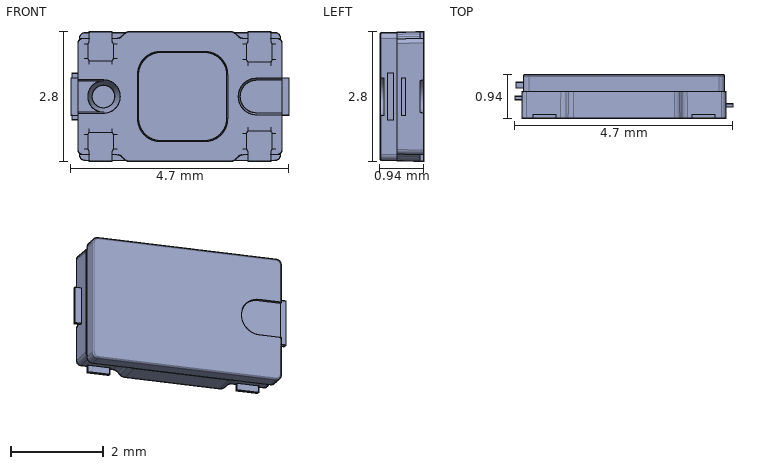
import cadquery as cq
import math


total_length = 4.7
total_depth = 0.94

base_length = 4.4
base_height = 2.8
base_depth = 0.58
base_draft = 0.015
base_corner_radius = 0.1

relief_depth = 0.145
relief_ramp_foot_x = 1.3
ramp_angle = math.radians(45)
ramp_fillet = 0.16

window_slope = 0.3
left_slot_slope = 0.3
right_slot_slope = 0.4
window_size = 1.945
window_center_x = 0.055
window_corner_radius = 0.5
window_depth = 0.08
slot_center_x = 1.65
left_slot_radius = 0.36
left_slot_depth = 0.08
left_pit_depth = 0.395
right_slot_radius = 0.395
right_slot_depth = 0.11

cover_length = 4.345
cover_height = 2.76
cover_corner_radius = 0.125
cover_edge_fillet = 0.035
cover_slot_radius = 0.405
cover_slot_depth = 0.085
cover_tab_height = 1.005
cover_tab_start_y = 0.65
cover_tab_thickness = 0.13
cover_tab_reach = 2.33

sheet_thickness = 0.08
tie_tab_height = 0.81
left_tab_start_y = 0.4
right_tab_start_y = 0.24
tie_tab_length = (total_length - base_length) / 2

terminal_center_x = 1.71
terminal_width = 0.5
terminal_wide_width = 0.555
left_terminal_length = 0.63
right_terminal_length = 0.66
terminal_neck_length = 0.22
terminal_flare_length = 0.05
wing_bend_radius = 2 * sheet_thickness


def block(x_min, x_max, y_min, y_max, height):
    """Box centred on Z = 0."""
    size = (x_max - x_min, y_max - y_min, height)
    return cq.Workplane("XY").box(*size, centered=(False, False, True)).translate((x_min, y_min, 0))


def front_plane(y=0.0):
    """Workplane facing -Y, with its axes along +X and +Z."""
    return cq.Workplane("XZ", origin=(0, y, 0))


def sunk(outline, depth, slope):
    """Cutter from an outline on the front face, narrowing with depth."""
    return outline.extrude(-depth, taper=math.degrees(math.atan(slope)))


def slot_outline(y, side, radius):
    """U-shaped slot that opens through the +X (side = 1) or -X (side = -1) end."""
    center_x = side * slot_center_x
    open_x = side * base_length
    return (
        front_plane(y)
        .moveTo(open_x, radius)
        .lineTo(center_x, radius)
        .threePointArc((center_x - side * radius, 0), (center_x, -radius))
        .lineTo(open_x, -radius)
        .close()
    )


def runs_front_to_back(edge):
    return edge.BoundingBox().ylen > base_depth / 2


def relieved_profile(y, half_height, ramp_foot_x):
    """Outline that drops by ramps to lower shelves, running on past the base ends."""
    shelf_z = half_height - relief_depth
    ramp_top_x = ramp_foot_x - relief_depth / math.tan(ramp_angle)
    far_x = base_length
    upper_half = [
        (-far_x, shelf_z),
        (-ramp_foot_x, shelf_z),
        (-ramp_top_x, half_height),
        (ramp_top_x, half_height),
        (ramp_foot_x, shelf_z),
        (far_x, shelf_z),
    ]
    lower_half = [(x, -z) for x, z in reversed(upper_half)]
    return front_plane(y).polyline(upper_half + lower_half).close().wire().val()


def make_base_blank():
    """Block with drafted top and bottom and filleted reliefs in its four corners."""
    half_height = base_height / 2
    foot_shift = base_draft * math.tan(ramp_angle / 2)
    front = relieved_profile(0, half_height, relief_ramp_foot_x)
    back = relieved_profile(base_depth, half_height - base_draft, relief_ramp_foot_x - foot_shift)
    blank = block(-base_length / 2, base_length / 2, 0, base_depth, base_height)
    blank = blank.intersect(cq.Workplane(cq.Solid.makeLoft([front, back], True)))

    def is_ramp_edge(edge):
        return runs_front_to_back(edge) and abs(edge.Center().x) < terminal_center_x

    blank = blank.edges().filter(is_ramp_edge).fillet(ramp_fillet)
    return blank.faces("<X or >X").edges().filter(runs_front_to_back).fillet(base_corner_radius)


def make_window():
    """Shallow square recess with rounded corners and sloping walls."""
    outline = front_plane().center(window_center_x, 0).sketch()
    outline = outline.rect(window_size, window_size).vertices().fillet(window_corner_radius).finalize()
    return sunk(outline, window_depth, window_slope)


def make_base(terminals):
    base = make_base_blank()
    base = base.cut(make_window())
    base = base.cut(sunk(slot_outline(0, -1, left_slot_radius), left_slot_depth, left_slot_slope))
    base = base.cut(sunk(slot_outline(0, 1, right_slot_radius), right_slot_depth, right_slot_slope))
    pit = front_plane().center(-slot_center_x, 0).circle(left_slot_radius)
    base = base.cut(sunk(pit, left_pit_depth, left_slot_slope))
    for terminal in terminals:
        base = base.cut(terminal)
    return base


def make_cover():
    half_length = cover_length / 2
    cover = block(-half_length, half_length, base_depth, total_depth, cover_height)
    cover = cover.edges("|Y").fillet(cover_corner_radius)
    cover = cover.faces(">Y").edges().fillet(cover_edge_fillet)
    cover = cover.cut(slot_outline(total_depth, -1, cover_slot_radius).extrude(cover_slot_depth))
    tab_end_y = cover_tab_start_y + cover_tab_thickness
    tab = block(-cover_tab_reach, -half_length, cover_tab_start_y, tab_end_y, cover_tab_height)
    return cover.union(tab)


def make_tie_tab(x_min, length, start_y):
    return block(x_min, x_min + length, start_y, start_y + sheet_thickness, tie_tab_height)


def make_wing(width):
    """Quarter bend of sheet, leaving the origin along +Z and curling from the front into +Y."""
    inner_radius = wing_bend_radius - sheet_thickness
    ring = (
        cq.Workplane("YZ", origin=(-width / 2, 0, 0))
        .center(wing_bend_radius, 0)
        .circle(wing_bend_radius)
        .circle(inner_radius)
        .extrude(width)
    )
    quarter = block(-width / 2, width / 2, 0, wing_bend_radius, 2 * wing_bend_radius)
    return ring.intersect(quarter.translate((0, 0, wing_bend_radius)))


def make_terminal(side_x, side_z, length):
    """Plate set into the front face, with bent wings that anchor its three inner edges."""
    narrow = terminal_width / 2
    wide = terminal_wide_width / 2
    neck_z = length - terminal_neck_length
    wing_top_z = neck_z - terminal_flare_length
    wing_bottom_z = terminal_flare_length
    half_outline = [
        (narrow, length),
        (narrow, neck_z),
        (wide, wing_top_z),
        (wide, wing_bottom_z),
        (narrow, 0),
    ]
    mirrored = [(-x, z) for x, z in reversed(half_outline)]
    terminal = front_plane().polyline(half_outline + mirrored).close().extrude(-sheet_thickness)

    y_axis = ((0, 0, 0), (0, 1, 0))
    wing_middle_z = (wing_top_z + wing_bottom_z) / 2
    side_wing = make_wing(wing_top_z - wing_bottom_z)
    for side in (-1, 1):
        terminal = terminal.union(
            side_wing.rotate(*y_axis, side * 90).translate((side * wide, 0, wing_middle_z))
        )
    terminal = terminal.union(make_wing(terminal_width).rotate(*y_axis, 180))

    inner_z = base_height / 2 - length
    terminal = terminal.translate((0, 0, inner_z))
    if side_z < 0:
        terminal = terminal.rotate(*y_axis, 180)
    return terminal.translate((side_x * terminal_center_x, 0, 0))


terminals = [
    make_terminal(side_x, side_z, length)
    for side_x, length in [(-1, left_terminal_length), (1, right_terminal_length)]
    for side_z in (-1, 1)
]
base = make_base(terminals)
cover = make_cover()
left_tab = make_tie_tab(-base_length / 2 - tie_tab_length, tie_tab_length, left_tab_start_y)
right_tab = make_tie_tab(base_length / 2, tie_tab_length, right_tab_start_y)

result = cq.Compound.makeCompound(
    [base.val(), cover.val(), left_tab.val(), right_tab.val()]
    + [terminal.val() for terminal in terminals]
)